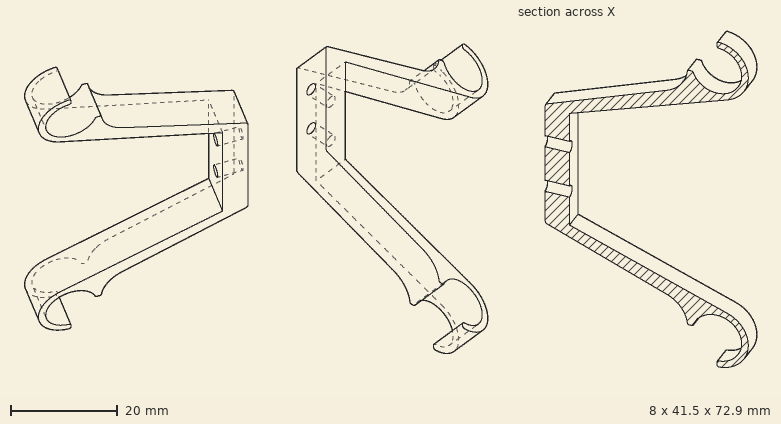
import cadquery as cq
import math

width = 8.0
depth = 41.5
height = 72.95

plate_thickness = 5.0
inner_half_height = 12.5
outer_half_height = 13.35
outer_corner_radius = 0.7
hole_diameter = 2.4
hole_spacing = 10.0

arm_outer_angle = math.radians(21.1)
clip_inner_radius = 5.0
clip_outer_radius = 6.5
tip_angle = math.pi / 2
tip_corner_radius = 0.5
prong_arc_radius = clip_outer_radius
prong_back = 29.0
prong_top = 28.6
prong_corner_radius = 0.4

clip_x = depth - clip_outer_radius
clip_rise = tip_corner_radius + math.sqrt(
    (clip_outer_radius - tip_corner_radius) ** 2 - tip_corner_radius**2
)
clip_z = height / 2 - clip_rise


def on_circle(center, radius, angle):
    return (center[0] + radius * math.cos(angle), center[1] + radius * math.sin(angle))


def arm_profile():
    """Outline of half the plate, one arm and its clip, with the tip and prong corners to round."""
    clip = (clip_x, clip_z)

    run = clip_x - plate_thickness
    rise = clip_z - inner_half_height
    inner_angle = math.atan2(rise, run) - math.asin(clip_outer_radius / math.hypot(run, rise))
    tangent_angle = inner_angle - math.pi / 2
    outer_start = on_circle(clip, clip_outer_radius, tangent_angle)
    outer_mid = on_circle(clip, clip_outer_radius, (tangent_angle + tip_angle) / 2)
    outer_end = on_circle(clip, clip_outer_radius, tip_angle)

    inner_start = on_circle(clip, clip_inner_radius, tip_angle)

    arc_x = prong_back - prong_arc_radius
    arc_z = (outer_half_height + arc_x * math.tan(arm_outer_angle)
             + prong_arc_radius / math.cos(arm_outer_angle))
    arc_center = (arc_x, arc_z)
    prong_back_angle = math.asin((prong_top - arc_z) / prong_arc_radius)
    prong_back_corner = on_circle(arc_center, prong_arc_radius, prong_back_angle)
    arc_end_angle = arm_outer_angle - math.pi / 2
    prong_angle = math.asin((clip_z - prong_top) / clip_inner_radius)
    prong_front = on_circle(clip, clip_inner_radius, prong_angle - math.pi)
    inner_mid = on_circle(clip, clip_inner_radius, (tip_angle + prong_angle - math.pi) / 2)

    return (
        cq.Workplane("YZ")
        .moveTo(0, 0)
        .lineTo(plate_thickness, 0)
        .lineTo(plate_thickness, inner_half_height)
        .lineTo(*outer_start)
        .threePointArc(outer_mid, outer_end)
        .lineTo(*inner_start)
        .threePointArc(inner_mid, prong_front)
        .lineTo(*prong_back_corner)
        .threePointArc(
            on_circle(arc_center, prong_arc_radius, (prong_back_angle + arc_end_angle) / 2),
            on_circle(arc_center, prong_arc_radius, arc_end_angle),
        )
        .lineTo(0, outer_half_height)
        .close()
    ), (outer_end, inner_start), (prong_front, prong_back_corner)


def upper_half():
    profile, tip_corners, prong_corners = arm_profile()
    half = profile.extrude(width / 2, both=True)

    def edge_at(corner):
        return cq.selectors.NearestToPointSelector((0, *corner))

    half = half.edges("|X").edges(edge_at((0, outer_half_height))).fillet(outer_corner_radius)
    for corner in tip_corners:
        half = half.edges("|X").edges(edge_at(corner)).fillet(tip_corner_radius)
    for corner in prong_corners:
        half = half.edges("|X").edges(edge_at(corner)).fillet(prong_corner_radius)
    return half


top_half = upper_half()
bracket = top_half.union(top_half.mirror("XY")).clean()

holes = (
    cq.Workplane("XZ")
    .pushPoints([(0, -hole_spacing / 2), (0, hole_spacing / 2)])
    .circle(hole_diameter / 2)
    .extrude(-plate_thickness)
)

result = bracket.cut(holes).mirror("XZ")